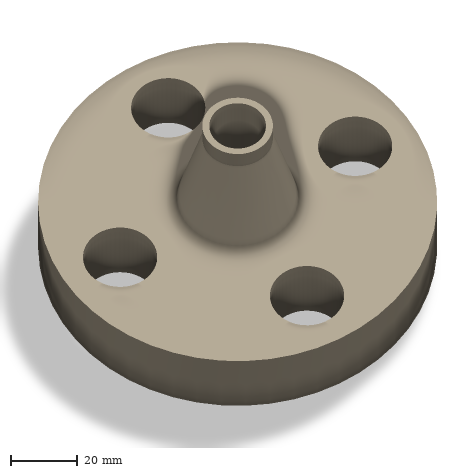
import cadquery as cq

flange_diameter = 120.6
flange_thickness = 22.4

face_diameter = 35.1
face_height = 6.3

hub_height = 38.1
hub_base_diameter = 38.1
neck_diameter = 21.3
neck_length = 6.0
hub_fillet = 3.0

bore_diameter = 17.1
bolt_count = 4
bolt_circle_diameter = 82.5
bolt_hole_diameter = 22.4

face_z = -face_height
hub_top_z = flange_thickness + hub_height
taper_top_z = hub_top_z - neck_length


def make_flange():
    """Disc with the raised face below it."""
    disc = cq.Workplane("XY").circle(flange_diameter / 2).extrude(flange_thickness)
    face = cq.Workplane("XY").circle(face_diameter / 2).extrude(face_z)
    return disc.union(face)


def make_hub():
    """Cone that narrows from the disc to the straight neck."""
    return (
        cq.Workplane("XZ")
        .moveTo(0, flange_thickness)
        .lineTo(hub_base_diameter / 2, flange_thickness)
        .lineTo(neck_diameter / 2, taper_top_z)
        .lineTo(neck_diameter / 2, hub_top_z)
        .lineTo(0, hub_top_z)
        .close()
        .revolve(360, (0, 0), (0, 1))
    )


def round_hub_root(body):
    """Fillet the circle where the hub meets the top of the disc."""
    reach = hub_base_diameter / 2 + hub_fillet
    root_zone = cq.selectors.BoxSelector(
        (-reach, -reach, flange_thickness - hub_fillet),
        (reach, reach, flange_thickness + hub_fillet),
        boundingbox=True,
    )
    return body.edges("%CIRCLE").edges(root_zone).fillet(hub_fillet)


def cut_holes(body):
    """Bore along the axis and equally spaced bolt holes."""
    bore = (
        cq.Workplane("XY", origin=(0, 0, face_z))
        .circle(bore_diameter / 2)
        .extrude(hub_top_z - face_z)
    )
    bolts = (
        cq.Workplane("XY")
        .polarArray(bolt_circle_diameter / 2, 0, 360, bolt_count)
        .circle(bolt_hole_diameter / 2)
        .extrude(flange_thickness)
    )
    return body.cut(bore).cut(bolts)


body = make_flange().union(make_hub())
result = cut_holes(round_hub_root(body))